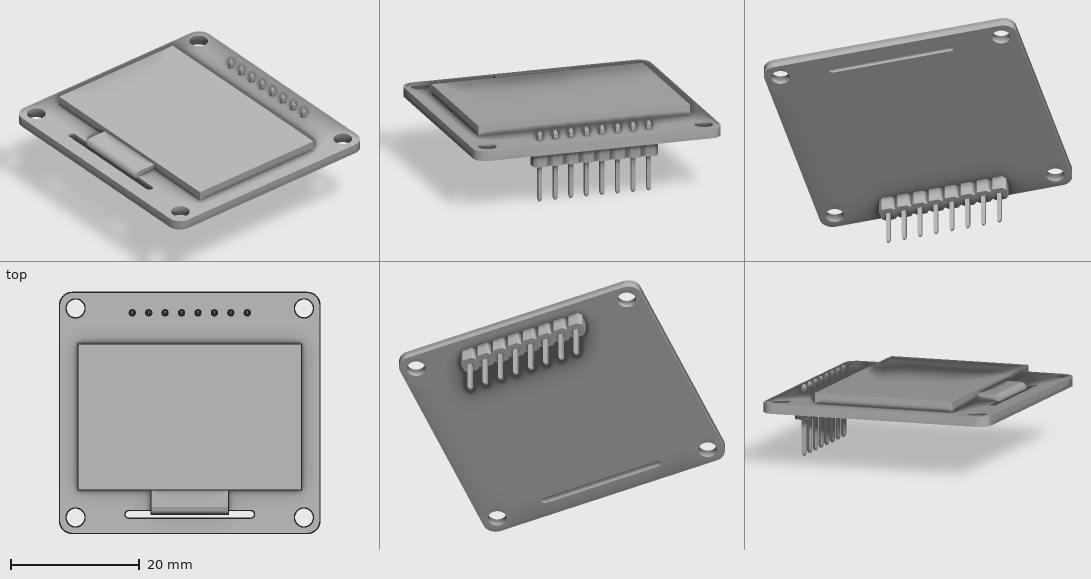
import cadquery as cq

board_length = 40.5
board_width = 37.5
board_thickness = 1.58
board_corner_radius = 2.02

mount_hole_diameter = 2.9
mount_hole_inset = 2.5

screen_length = 34.65
screen_width = 22.72
screen_height = 1.6
screen_back_inset = 8.0

flex_length = 12.05
flex_height = 1.0
flex_bend_radius = 0.97

slot_length = 20.1
slot_width = 1.15
slot_front_inset = 3.0

pin_count = 8
pin_pitch = 2.55
pin_row_back_inset = 3.2
pin_side = 0.65
pin_tip_chamfer = 0.15
pin_tip_height = 0.45
pin_hole_diameter = 0.97
block_height = 2.55
block_corner_chamfer = 0.53
overall_height = 11.62
pin_top_drop = 0.32

screen_top = board_thickness + screen_height
screen_center_y = board_width / 2 - screen_back_inset - screen_width / 2
screen_front_y = screen_center_y - screen_width / 2
slot_center_y = -board_width / 2 + slot_front_inset
flex_front_y = slot_center_y
pin_row_y = board_width / 2 - pin_row_back_inset
pin_xs = [(i - (pin_count - 1) / 2) * pin_pitch for i in range(pin_count)]
pin_bottom = screen_top - overall_height
pin_top = screen_top - pin_top_drop


def make_board():
    """Rounded board with mounting holes, cable slot and pin holes."""
    board = (
        cq.Workplane("XY")
        .rect(board_length, board_width)
        .extrude(board_thickness)
        .edges("|Z")
        .fillet(board_corner_radius)
    )
    mount_holes = (
        cq.Workplane("XY")
        .rect(board_length - 2 * mount_hole_inset, board_width - 2 * mount_hole_inset, forConstruction=True)
        .vertices()
        .circle(mount_hole_diameter / 2)
        .extrude(board_thickness)
    )
    cable_slot = (
        cq.Workplane("XY")
        .center(0, slot_center_y)
        .slot2D(slot_length, slot_width)
        .extrude(board_thickness)
    )
    pin_holes = (
        cq.Workplane("XY")
        .pushPoints([(x, pin_row_y) for x in pin_xs])
        .circle(pin_hole_diameter / 2)
        .extrude(board_thickness)
    )
    return board.cut(mount_holes).cut(cable_slot).cut(pin_holes)


def make_screen():
    """Plain glass slab on top of the board."""
    return (
        cq.Workplane("XY", origin=(0, screen_center_y, board_thickness))
        .rect(screen_length, screen_width)
        .extrude(screen_height)
    )


def make_flex():
    """Cable from the screen's front edge, bent down over the slot."""
    flex_reach = screen_front_y - flex_front_y
    return (
        cq.Workplane("XY", origin=(0, screen_front_y - flex_reach / 2, board_thickness))
        .rect(flex_length, flex_reach)
        .extrude(flex_height)
        .edges(">Z and <Y")
        .fillet(flex_bend_radius)
    )


def make_display_module():
    """Board, screen and cable as one solid."""
    return make_board().union(make_screen()).union(make_flex())


def make_pin_tip(x, base_z, direction):
    """Tapered pin end that starts at base_z and points up (1) or down (-1)."""
    tip_side = pin_side - 2 * pin_tip_chamfer
    return (
        cq.Workplane("XY", origin=(x, pin_row_y, base_z))
        .rect(pin_side, pin_side)
        .workplane(offset=direction * pin_tip_height)
        .rect(tip_side, tip_side)
        .loft()
    )


def make_header_pin(x):
    """Pin with tapered ends and its corner-chamfered block, as one solid."""
    shaft_bottom = pin_bottom + pin_tip_height
    shaft_top = pin_top - pin_tip_height
    shaft = (
        cq.Workplane("XY", origin=(x, pin_row_y, shaft_bottom))
        .rect(pin_side, pin_side)
        .extrude(shaft_top - shaft_bottom)
    )
    block = (
        cq.Workplane("XY", origin=(x, pin_row_y, -block_height))
        .rect(pin_pitch, pin_pitch)
        .extrude(block_height)
        .edges("|Z")
        .chamfer(block_corner_chamfer)
    )
    lower_tip = make_pin_tip(x, shaft_bottom, -1)
    upper_tip = make_pin_tip(x, shaft_top, 1)
    return block.union(shaft).union(lower_tip).union(upper_tip)


display_module = make_display_module()
header_pins = [make_header_pin(x) for x in pin_xs]

result = cq.Compound.makeCompound([display_module.val(), *[pin.val() for pin in header_pins]])